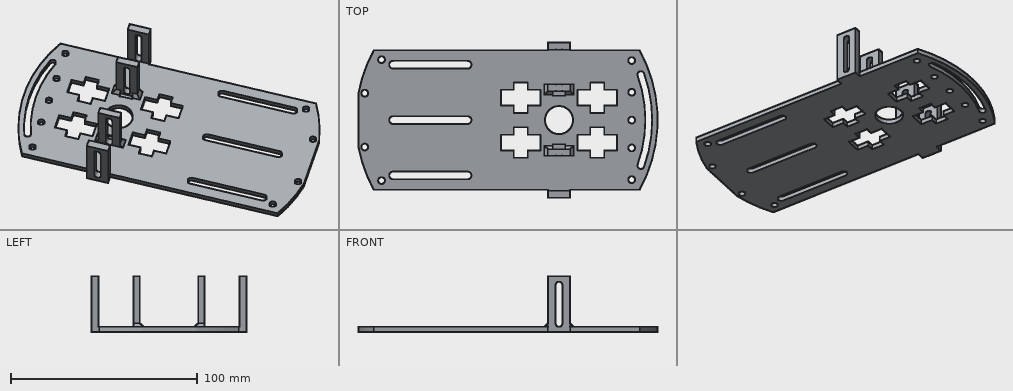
import cadquery as cq
import math

plate_length = 160.5
plate_width = 75.0
plate_thickness = 2.9
nose_tip_x = plate_length / 2
tail_x = -plate_length / 2
tail_corner_x = -72.1
tail_flat_width = 29.5
end_radius = 77.0

screw_hole_diameter = 3.5
tail_corner_hole = (-68.0, 32.5)
tail_flat_hole = (-76.9, 14.5)
nose_hole_x = 66.3
nose_hole_inner_y = 15.0
nose_hole_outer_y = 32.0

long_slot_length = 44.0
long_slot_width = 4.0
long_slot_x = -41.8
long_slot_pitch = 29.7

arc_slot_radius = 72.3
arc_slot_width = 3.5
arc_slot_end_y = 24.4

hub_x = 27.3
hub_diameter = 15.0
cross_offset_x = 20.5
cross_offset_y = 12.0
cross_bar_x = (21.0, 8.4)
cross_bar_y = (7.4, 16.2)

post_width = 11.9
post_height = 30.0
post_slot_width = 3.5
post_slot_length = 24.1
overall_width = 83.3
outer_post_face_y = overall_width / 2
outer_post_thickness = 3.9
inner_post_outer_y = 19.1
inner_post_thickness = 3.5
inner_post_inner_y = inner_post_outer_y - inner_post_thickness
gusset_size = 2.0

recess_width = 6.9
recess_reach = 2.5
recess_floor_z = 1.8


def box(x_size, y_range, z_range):
    """Box centred on the hub in X, spanning the given Y and Z ranges."""
    y_low, y_high = sorted(y_range)
    z_low, z_high = z_range
    return (
        cq.Workplane("XY", origin=(hub_x, (y_low + y_high) / 2, z_low))
        .rect(x_size, y_high - y_low)
        .extrude(z_high - z_low)
    )


def make_plate():
    """Base plate blank, before any opening is cut."""
    half_width = plate_width / 2
    half_flat = tail_flat_width / 2
    arc_centre_x = nose_tip_x - end_radius
    nose_corner_x = arc_centre_x + math.sqrt(end_radius**2 - half_width**2)
    return (
        cq.Workplane("XY")
        .moveTo(tail_corner_x, -half_width)
        .lineTo(nose_corner_x, -half_width)
        .threePointArc((nose_tip_x, 0), (nose_corner_x, half_width))
        .lineTo(tail_corner_x, half_width)
        .radiusArc((tail_x, half_flat), -end_radius)
        .lineTo(tail_x, -half_flat)
        .radiusArc((tail_corner_x, -half_width), -end_radius)
        .close()
        .extrude(plate_thickness)
    )


def screw_holes():
    paired = [
        tail_corner_hole,
        tail_flat_hole,
        (nose_hole_x, nose_hole_inner_y),
        (nose_hole_x, nose_hole_outer_y),
    ]
    points = [(x, side * y) for x, y in paired for side in (-1, 1)]
    points.append((nose_hole_x, 0))
    return cq.Workplane("XY").pushPoints(points).circle(screw_hole_diameter / 2).extrude(plate_thickness)


def long_slots():
    points = [(long_slot_x, row * long_slot_pitch) for row in (-1, 0, 1)]
    return (
        cq.Workplane("XY")
        .pushPoints(points)
        .slot2D(long_slot_length, long_slot_width)
        .extrude(plate_thickness)
    )


def arc_slot():
    """Round-ended curved slot just behind the nose."""
    centre_x = nose_tip_x - end_radius
    end_angle = math.asin(arc_slot_end_y / arc_slot_radius)
    inner_radius = arc_slot_radius - arc_slot_width / 2
    outer_radius = arc_slot_radius + arc_slot_width / 2

    def polar(radius, angle):
        return (centre_x + radius * math.cos(angle), radius * math.sin(angle))

    def end_tip(side):
        """Outermost point of the rounded slot end."""
        x, y = polar(arc_slot_radius, side * end_angle)
        reach = side * arc_slot_width / 2
        return (x - reach * math.sin(side * end_angle), y + reach * math.cos(end_angle))

    return (
        cq.Workplane("XY")
        .moveTo(*polar(outer_radius, -end_angle))
        .threePointArc(polar(outer_radius, 0), polar(outer_radius, end_angle))
        .threePointArc(end_tip(1), polar(inner_radius, end_angle))
        .threePointArc(polar(inner_radius, 0), polar(inner_radius, -end_angle))
        .threePointArc(end_tip(-1), polar(outer_radius, -end_angle))
        .close()
        .extrude(plate_thickness)
    )


def hub_openings():
    """Round opening and the four crosses, each made of two crossing bars."""
    openings = cq.Workplane("XY").center(hub_x, 0).circle(hub_diameter / 2).extrude(plate_thickness)
    for bar in (cross_bar_x, cross_bar_y):
        bars = (
            cq.Workplane("XY")
            .center(hub_x, 0)
            .rarray(2 * cross_offset_x, 2 * cross_offset_y, 2, 2)
            .rect(*bar)
            .extrude(plate_thickness)
        )
        openings = openings.union(bars)
    return openings


def cut_post_slot(post, outer_y, thickness):
    """Cut the upright slot through one post, with its lower end level with the plate top."""
    side = math.copysign(1, outer_y)
    slot_z = plate_thickness + post_slot_length / 2
    slot = (
        cq.Workplane("XZ", origin=(hub_x, outer_y, slot_z))
        .slot2D(post_slot_length, post_slot_width, 90)
        .extrude(side * thickness)
    )
    return post.cut(slot)


def outer_post(side):
    """Post standing just off the plate edge, with a foot joining it to the plate."""
    face_y = side * outer_post_face_y
    inner_y = side * (outer_post_face_y - outer_post_thickness)
    post = box(post_width, (face_y, inner_y), (0, post_height))
    foot = box(post_width, (face_y, side * plate_width / 2), (0, plate_thickness))
    return cut_post_slot(post, face_y, outer_post_thickness).union(foot)


def inner_post(side):
    """Post on the plate with a 45-degree gusset on three sides and flush on the outer side."""
    outer_y = side * inner_post_outer_y
    post = box(post_width, (outer_y, side * inner_post_inner_y), (0, post_height))
    gusset_y = side * (inner_post_outer_y - (inner_post_thickness + gusset_size) / 2)
    gusset = (
        cq.Workplane("XY", origin=(hub_x, gusset_y, plate_thickness))
        .rect(post_width + 2 * gusset_size, inner_post_thickness + gusset_size)
        .workplane(offset=gusset_size)
        .center(0, side * gusset_size / 2)
        .rect(post_width, inner_post_thickness)
        .loft(ruled=True)
    )
    return cut_post_slot(post.union(gusset), outer_y, inner_post_thickness)


def inner_recess(side):
    """Clearance block against the inner face of one inner post."""
    y_range = (side * inner_post_inner_y, side * (inner_post_inner_y - recess_reach))
    return box(recess_width, y_range, (recess_floor_z, post_height))


result = make_plate()
for side in (-1, 1):
    result = result.union(outer_post(side)).union(inner_post(side))
    result = result.cut(inner_recess(side))
for opening in (screw_holes(), long_slots(), arc_slot(), hub_openings()):
    result = result.cut(opening)